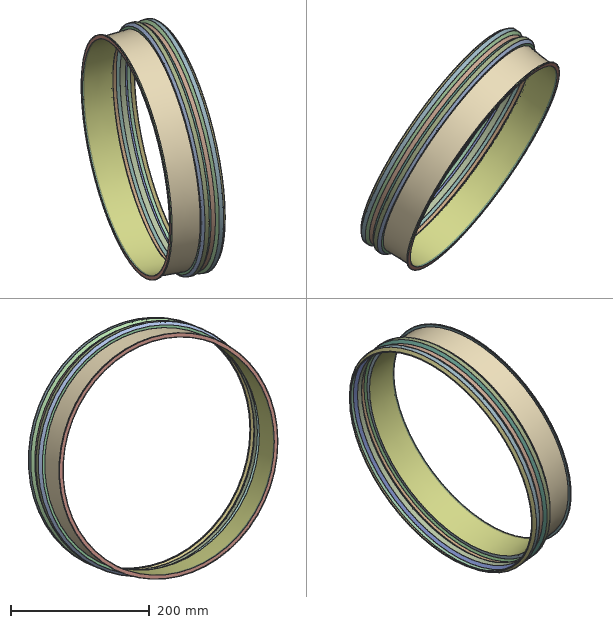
import cadquery as cq
import math

length = 82.98
wall = 2.0
ridge_diameter = 376.0
groove_diameter = 367.5
ridge_count = 2
flat_width = 6.75
lip_thickness = 1.5
flange_outer_diameter = 362.62
flange_inner_diameter = 350.62
flange_thickness = 2.0
skirt_angle = math.radians(3.1)
bevel_angle = math.radians(45.0)

ridge_radius = ridge_diameter / 2
groove_radius = groove_diameter / 2
flange_outer_radius = flange_outer_diameter / 2
flange_inner_radius = flange_inner_diameter / 2

bevel_width = (ridge_radius - groove_radius) / math.tan(bevel_angle)
bend_shift = wall * math.tan(bevel_angle / 2)
ridge_width = flat_width + 2 * bevel_width
ridge_pitch = ridge_width + flat_width

front_face = -length / 2
back_face = length / 2
flange_back = front_face + flange_thickness
ridge_backs = [back_face - i * ridge_pitch for i in range(ridge_count)]
collar_front = ridge_backs[-1] - ridge_width
shoulder = collar_front + wall
skirt_radial_wall = wall / math.cos(skirt_angle)


def skirt_inner_radius(y):
    """Inner radius of the tapered skirt at position y."""
    return flange_inner_radius + (y - flange_back) * math.tan(skirt_angle)


def skirt_outer_radius(y):
    """Outer radius of the tapered skirt at position y."""
    return skirt_inner_radius(y) + skirt_radial_wall


def ridge_outside(back):
    """Outer bend points of one ridge, from its +Y foot to its -Y foot."""
    return [
        (groove_radius, back),
        (ridge_radius, back - bevel_width),
        (ridge_radius, back - bevel_width - flat_width),
        (groove_radius, back - ridge_width),
    ]


def ridge_crest_inside(back):
    """Inner bend points under one ridge crest, towards +Y."""
    radius = ridge_radius - wall
    return [
        (radius, back - bevel_width - flat_width + bend_shift),
        (radius, back - bevel_width - bend_shift),
    ]


def groove_inside(back):
    """Inner bend points of the groove behind the ridge whose +Y foot is at back."""
    radius = groove_radius - wall
    return [
        (radius, back - bend_shift),
        (radius, back + flat_width + bend_shift),
    ]


def collar_inside():
    """Inside of the collar, from the shoulder to the open +Y edge."""
    points = [(groove_radius - bend_shift, shoulder)]
    for back in reversed(ridge_backs):
        points += ridge_crest_inside(back)
        if back < back_face:
            points += groove_inside(back)
    points.append((groove_radius - lip_thickness, back_face))
    return points


def ring_section():
    """Closed radial section of the ring in the XY plane."""
    outside = []
    for back in ridge_backs:
        outside += ridge_outside(back)
    outside += [
        (skirt_outer_radius(collar_front), collar_front),
        (skirt_outer_radius(flange_back), flange_back),
        (flange_outer_radius, flange_back),
        (flange_outer_radius, front_face),
    ]
    inside = [
        (flange_inner_radius, front_face),
        (flange_inner_radius, flange_back),
        (skirt_inner_radius(shoulder), shoulder),
    ]
    inside += collar_inside()
    return cq.Workplane("XY").polyline(outside + inside).close()


result = ring_section().revolve(360, (0, 0, 0), (0, 1, 0))